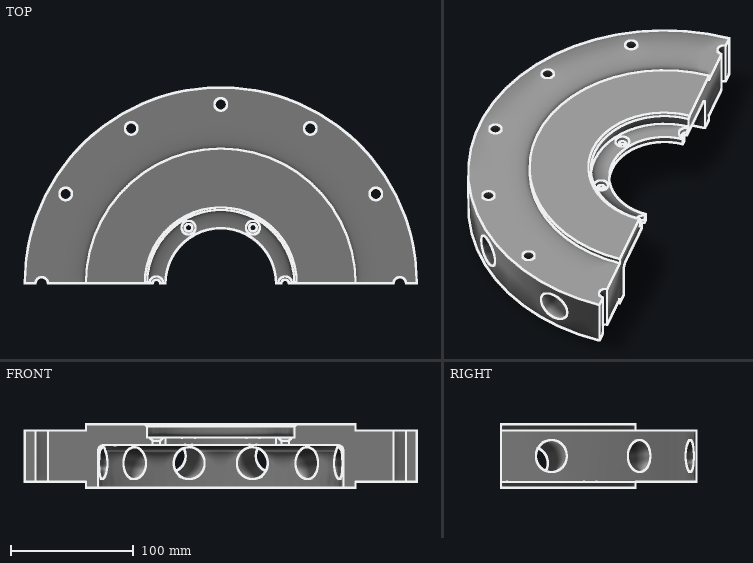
import cadquery as cq
import math

flange_radius = 160.0
hub_radius = 110.0
total_height = 52.0
collar_height = 5.0
flange_bottom = collar_height
flange_top = total_height - collar_height

recess_radius = 60.0
recess_depth = 11.0
recess_chamfer = 2.0
bore_radius = 45.0

shelf_thickness = 6.0
cavity_radius = 100.0
cavity_fillet = 5.0
shelf_top = total_height - recess_depth
cavity_ceiling = shelf_top - shelf_thickness

bolt_circle_radius = 146.0
bolt_hole_diameter = 10.0
bolt_angles = range(0, 181, 30)

screw_circle_radius = (bore_radius + recess_radius) / 2
screw_hole_diameter = 6.0
countersink_diameter = 11.3
countersink_depth = (countersink_diameter - screw_hole_diameter) / 2
screw_angles = range(0, 181, 60)

port_diameter = 26.0
port_tilt = 5.5
port_angles = range(15, 180, 30)
port_outer_height = total_height / 2
port_overrun = 15.0


def make_half_ring():
    """Revolve the cross-section half a turn so the split face lies on Y = 0."""
    fillet_mid_offset = cavity_fillet * (1 - math.sqrt(0.5))
    profile = (
        cq.Workplane("XZ")
        .moveTo(flange_radius, flange_bottom)
        .lineTo(flange_radius, flange_top)
        .lineTo(hub_radius, flange_top)
        .lineTo(hub_radius, total_height)
        .lineTo(recess_radius + recess_chamfer, total_height)
        .lineTo(recess_radius, total_height - recess_chamfer)
        .lineTo(recess_radius, shelf_top)
        .lineTo(bore_radius, shelf_top)
        .lineTo(bore_radius, cavity_ceiling)
        .lineTo(cavity_radius - cavity_fillet, cavity_ceiling)
        .threePointArc(
            (cavity_radius - fillet_mid_offset, cavity_ceiling - fillet_mid_offset),
            (cavity_radius, cavity_ceiling - cavity_fillet),
        )
        .lineTo(cavity_radius, 0)
        .lineTo(hub_radius, 0)
        .lineTo(hub_radius, flange_bottom)
        .close()
    )
    return profile.revolve(180, (0, 0, 0), (0, 1, 0))


def point_at(radius, angle, height):
    """Point at a radius and angle (degrees) about the Z axis."""
    heading = math.radians(angle)
    return cq.Vector(radius * math.cos(heading), radius * math.sin(heading), height)


def bolt_hole(angle):
    """Plain upright hole through the flange."""
    base = point_at(bolt_circle_radius, angle, flange_bottom)
    return cq.Solid.makeCylinder(bolt_hole_diameter / 2, flange_top - flange_bottom, base)


def screw_hole(angle):
    """Upright hole through the shelf with a 90 degree countersink from above."""
    base = point_at(screw_circle_radius, angle, cavity_ceiling)
    shank = cq.Solid.makeCylinder(screw_hole_diameter / 2, shelf_thickness, base)
    countersink = cq.Solid.makeCone(
        screw_hole_diameter / 2,
        countersink_diameter / 2,
        countersink_depth,
        base + cq.Vector(0, 0, shelf_thickness - countersink_depth),
    )
    return shank.fuse(countersink)


def radial_port(angle):
    """Cylinder running inwards and down through the wall at the given angle."""
    tilt = math.radians(port_tilt)
    mouth = point_at(flange_radius, angle, port_outer_height)
    inward = point_at(-math.cos(tilt), angle, -math.sin(tilt))
    length = flange_radius - cavity_radius + 2 * port_overrun
    return cq.Solid.makeCylinder(port_diameter / 2, length, mouth - inward * port_overrun, inward)


result = make_half_ring()
for bolt_angle in bolt_angles:
    result = result.cut(cq.Workplane(bolt_hole(bolt_angle)))
for screw_angle in screw_angles:
    result = result.cut(cq.Workplane(screw_hole(screw_angle)))
for port_angle in port_angles:
    result = result.cut(cq.Workplane(radial_port(port_angle)))